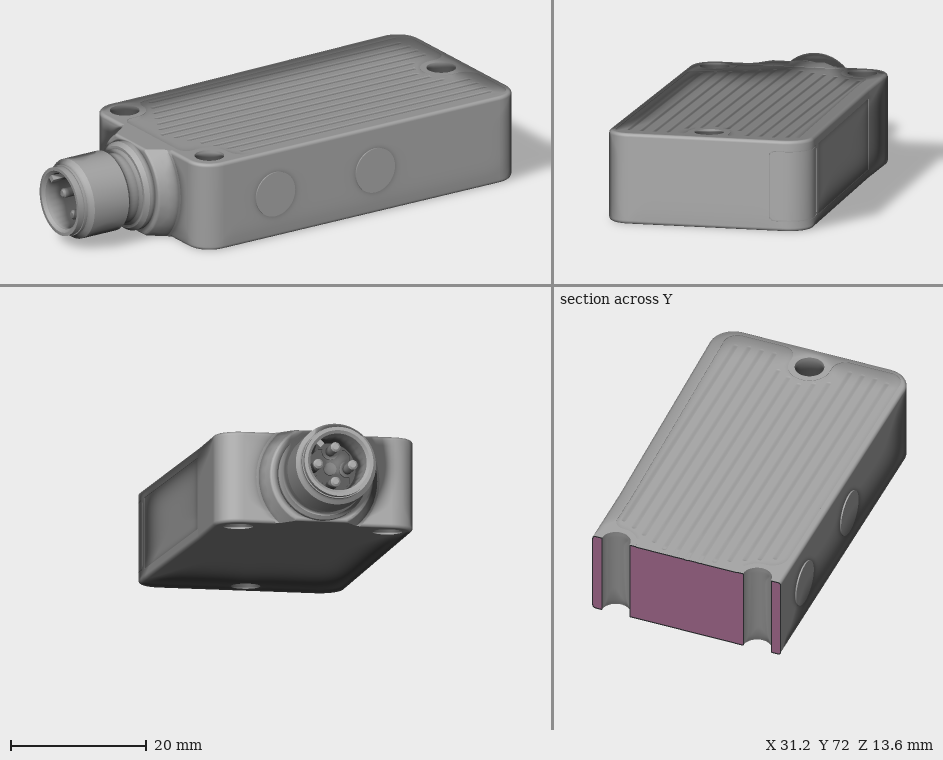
import cadquery as cq
import math


body_length = 56.6
body_height = 13.6
half_width = 15.0
corner_radius = 3.75
edge_radius = 0.5
taper_angle = 1.5
taper_start = 14.7
top_z = body_height / 2
overlap = 0.7
match_tolerance = 0.01

hole_diameter = 4.4
front_hole_x = half_width - corner_radius
front_hole_y = corner_radius
rear_hole_y = body_length - 4.2

panel_depth = 0.1
panel_front = 1.2
panel_rear = body_length - 1.0
panel_right = half_width - 1.0
panel_left_inset = 2.0
panel_notch_radius = 3.2
panel_rear_radius = 2.15
panel_front_radius = 1.65
panel_right_radius = 2.6

outer_groove_x = 12.0
groove_width = 0.8
groove_depth = 0.1
middle_groove_front = 2.6
groove_rear_ends = [48.4, 49.3, 50.3, 53.8, 53.8, 53.8, 53.35]
groove_pitch = outer_groove_x / (len(groove_rear_ends) - 1)
groove_front_step = groove_pitch / 2

mark_depth = 0.1
label_height = 10.65
label_front = 15.3
label_rear = body_length - 7.0
window_height = 10.6
window_reach = 6.0
window_groove = 0.15
window_corner_radius = 0.9

button_diameter = 6.9
button_height = 0.2
button_ys = [body_length - 26.0, body_length - 43.7]

base_length = 2.9
base_radius = 7.7
base_root_radius = 8.9
base_step_radius = 9.3
base_step_length = 0.15
base_edge_radius = 0.4
collar_radius = 6.7
collar_edge_radius = 6.2
neck_root_radius = 5.75
neck_radius = 5.3
grip_radius = 6.05
tip_radius = 5.2
collar_chamfer_start = 3.75
collar_end = 4.4
neck_start = 4.8
neck_end = 6.4
grip_start = 7.05
grip_end = 13.1
front_neck_start = 13.9
tip_start = 14.4
tip_length = 15.4
socket_depth = 6.5
socket_floor_radius = 3.8
socket_mouth_radius = 4.25
mouth_chamfer = 0.4
pin_circle_radius = 2.6
pin_radius = 0.7
pin_tip_chamfer = 0.3
pin_end = 13.2
pin_boss_radius = 1.2
centre_boss_radius = 0.9
insert_pocket_width = 5.8
insert_pocket_radius = 3.6
insert_pocket_depth = 0.3
key_width = 0.9
key_reach = 3.4


def left_side_x(y):
    """X of the housing's -X side at a given Y."""
    lean = max(0, y - taper_start) * math.tan(math.radians(taper_angle))
    return -half_width - lean


def housing_prism(inset, height):
    """Housing outline shrunk by an inset, centred on Z = 0."""
    outline = [
        (left_side_x(0) + inset, inset),
        (half_width - inset, inset),
        (half_width - inset, body_length - inset),
        (left_side_x(body_length) + inset, body_length - inset),
        (left_side_x(taper_start) + inset, taper_start),
    ]
    prism = cq.Workplane("XY").polyline(outline).close().extrude(height / 2, both=True)
    corners = prism.edges("|Z and (<Y or >Y)")
    return corners.fillet(corner_radius - inset)


def block(x_range, y_range, z_range):
    """Box between the given limits."""
    (x0, x1), (y0, y1), (z0, z1) = x_range, y_range, z_range
    return cq.Workplane("XY").box(x1 - x0, y1 - y0, z1 - z0, centered=False).translate((x0, y0, z0))


def edges_at(solid, points):
    """Upright edges of a solid that stand at the given (x, y) points."""
    def stands_at_a_point(edge):
        centre = edge.Center()
        return any(math.hypot(centre.x - x, centre.y - y) < match_tolerance for x, y in points)
    return solid.edges("|Z").filter(stands_at_a_point)


def top_panel():
    """Shallow slab with a notch round each mounting hole, to be cut from the top face."""
    def left_x(y):
        return left_side_x(y) + panel_left_inset

    notch_x = front_hole_x - panel_notch_radius
    notch_y = front_hole_y + panel_notch_radius
    front_corners = [(-notch_x, panel_front), (notch_x, panel_front)]
    notch_corners = [(notch_x, notch_y), (-notch_x, notch_y)]
    side_corners = [(panel_right, notch_y), (left_x(notch_y), notch_y)]
    rear_corners = [(panel_right, panel_rear), (left_x(panel_rear), panel_rear)]
    outline = [
        front_corners[0], front_corners[1], notch_corners[0], side_corners[0],
        rear_corners[0], rear_corners[1], (left_x(taper_start), taper_start),
        side_corners[1], notch_corners[1],
    ]
    panel = cq.Workplane("XY").polyline(outline).close().extrude(panel_depth)

    rear_notch = cq.Workplane("XY").circle(panel_notch_radius).extrude(panel_depth).union(
        block((-panel_notch_radius, panel_notch_radius), (0, body_length), (0, panel_depth))
    )
    panel = panel.cut(rear_notch.translate((0, rear_hole_y, 0)))
    mouth_corners = [(side * panel_notch_radius, panel_rear) for side in (-1, 1)]

    panel = edges_at(panel, notch_corners).fillet(panel_notch_radius)
    panel = edges_at(panel, front_corners + side_corners[1:]).fillet(panel_front_radius)
    panel = edges_at(panel, side_corners[:1]).fillet(panel_right_radius)
    panel = edges_at(panel, rear_corners + mouth_corners).fillet(panel_rear_radius)
    return panel.translate((0, 0, top_z - panel_depth))


def groove(x, front_end, rear_end):
    """Cutter for one groove: a shallow round bottom that runs out in a sphere at both ends."""
    half_groove = groove_width / 2
    section_radius = (half_groove ** 2 + groove_depth ** 2) / (2 * groove_depth)
    panel_z = top_z - panel_depth
    axis_z = panel_z - groove_depth + section_radius
    front_y = front_end + half_groove
    rear_y = rear_end - half_groove
    bar = (
        cq.Workplane("XZ", origin=(x, rear_y, axis_z))
        .circle(section_radius)
        .extrude(rear_y - front_y)
    )
    for end_y in (front_y, rear_y):
        bar = bar.union(cq.Workplane("XY", origin=(x, end_y, axis_z)).sphere(section_radius))
    below_panel = block(
        (x - groove_width, x + groove_width),
        (front_end - groove_width, rear_end + groove_width),
        (panel_z - 2 * groove_depth, panel_z),
    )
    return bar.intersect(below_panel)


def grooves():
    """All groove cutters, mirrored about the middle one."""
    cutters = cq.Workplane("XY")
    for number, rear_end in enumerate(groove_rear_ends):
        front_end = middle_groove_front + number * groove_front_step
        for x in {-number * groove_pitch, number * groove_pitch}:
            cutters = cutters.add(groove(x, front_end, rear_end))
    return cutters.combine()


def side_marks():
    """Label recess and the groove framing the corner window, both just below the surface."""
    skin = housing_prism(0, body_height).cut(housing_prism(mark_depth, body_height))
    label = block((-2 * half_width, 0), (label_front, label_rear), (-label_height / 2, label_height / 2))

    def window(margin):
        rear_left_x = left_side_x(body_length)
        half_height = window_height / 2 - margin
        reach = window_reach - margin
        opening = block(
            (rear_left_x - overlap, rear_left_x + reach),
            (body_length - reach, body_length + overlap),
            (-half_height, half_height),
        )
        return opening.edges("(|X and <Y) or (|Y and >X)").fillet(window_corner_radius - margin)

    frame = window(0).cut(window(window_groove))
    return skin.intersect(label.union(frame))


def buttons():
    return (
        cq.Workplane("YZ", origin=(half_width, 0, 0))
        .pushPoints([(y, 0) for y in button_ys])
        .circle(button_diameter / 2)
        .extrude(button_height)
    )


def revolved(profile):
    """Solid of revolution about the connector axis from (radius, distance) pairs."""
    points = [(radius, -distance) for radius, distance in profile]
    points = [(0, points[0][1])] + points + [(0, points[-1][1])]
    return cq.Workplane("XY").polyline(points).close().revolve(360, (0, 0), (0, 1))


def connector_base():
    """Cone in front of the housing, flattened to the housing height."""
    cone = revolved([
        (base_step_radius, -overlap),
        (base_step_radius, 0),
        (base_root_radius, base_step_length),
        (base_radius, base_length),
    ])
    slab = block((-half_width, half_width), (-base_length, overlap), (-top_z, top_z))
    return cone.intersect(slab).faces("<Y").edges().fillet(base_edge_radius)


def connector_shell():
    """Collar, neck, grip and tip."""
    return revolved([
        (collar_radius, 0),
        (collar_radius, collar_chamfer_start),
        (collar_edge_radius, collar_end),
        (neck_root_radius, collar_end),
        (neck_radius, neck_start),
        (neck_radius, neck_end),
        (grip_radius, grip_start),
        (grip_radius, grip_end),
        (neck_radius, front_neck_start),
        (neck_radius, tip_start),
        (tip_radius, tip_start),
        (tip_radius, tip_length),
    ])


def socket():
    """Tapered bore with a chamfered mouth and a key along its wall."""
    floor = tip_length - socket_depth
    bore = revolved([
        (socket_floor_radius, floor),
        (socket_mouth_radius, tip_length - mouth_chamfer),
        (socket_mouth_radius + mouth_chamfer, tip_length),
    ])
    key = block(
        (-key_width / 2, key_width / 2), (-tip_length + mouth_chamfer, -floor),
        (key_reach, socket_mouth_radius + mouth_chamfer),
    ).rotate((0, 0, 0), (0, 1, 0), -45)
    return bore.cut(key)


pin_centres = [
    (pin_circle_radius * math.cos(turn), pin_circle_radius * math.sin(turn))
    for turn in (0, math.pi / 2, math.pi, 3 * math.pi / 2)
]


def insert_pocket():
    """Shallow cross-shaped pocket in the socket floor, between the pin bosses."""
    pocket_floor = tip_length - socket_depth - insert_pocket_depth
    plane = cq.Workplane("XZ", origin=(0, -pocket_floor, 0))
    square = plane.rect(insert_pocket_width, insert_pocket_width).extrude(insert_pocket_depth)
    disc = plane.circle(insert_pocket_radius).extrude(insert_pocket_depth)
    pin_bosses = plane.pushPoints(pin_centres).circle(pin_boss_radius).extrude(insert_pocket_depth)
    centre_boss = plane.circle(centre_boss_radius).extrude(insert_pocket_depth)
    return square.intersect(disc).cut(pin_bosses).cut(centre_boss)


def pins():
    root = tip_length - socket_depth - overlap
    return (
        cq.Workplane("XZ", origin=(0, -root, 0))
        .pushPoints(pin_centres)
        .circle(pin_radius)
        .extrude(pin_end - root)
        .faces("<Y").edges().chamfer(pin_tip_chamfer)
    )


housing = housing_prism(0, body_height).faces("<Z or >Z").edges().fillet(edge_radius)
housing = housing.cut(side_marks()).union(buttons())
housing = housing.union(connector_base()).cut(top_panel()).cut(grooves())

mounting_holes = (
    cq.Workplane("XY", origin=(0, 0, -top_z))
    .pushPoints([(-front_hole_x, front_hole_y), (front_hole_x, front_hole_y), (0, rear_hole_y)])
    .circle(hole_diameter / 2)
    .extrude(body_height)
)

result = (
    housing.union(connector_shell())
    .cut(mounting_holes)
    .cut(socket())
    .cut(insert_pocket())
    .union(pins())
)